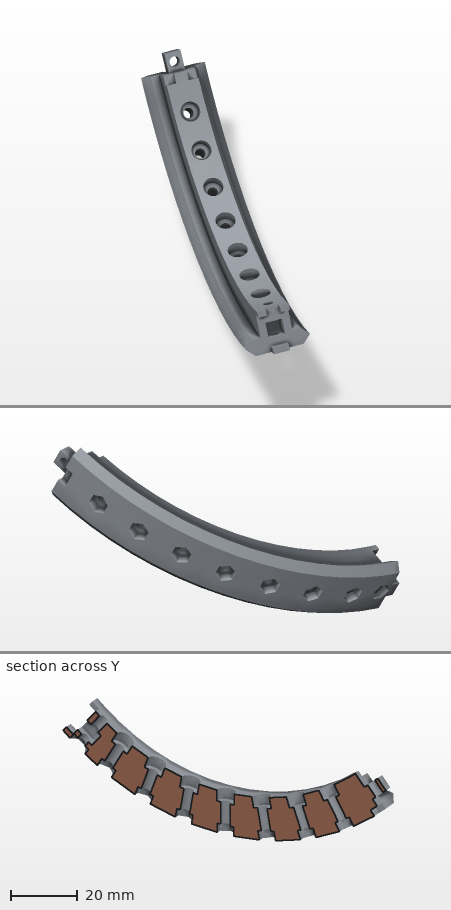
import cadquery as cq

OUTER_RADIUS = 84.0
INNER_RADIUS = 70.0
HALF_SWEEP = 40.0
FLANGE_WIDTH = 20.0
FLANGE_HEIGHT = 5.0
FLANGE_CHAMFER = FLANGE_HEIGHT / 2
WEB_WIDTH = 10.0

SCREW_ANGLES = (-30, -20, -10, 0, 10, 20, 30)
SCREW_DIAMETER = 3.1
HEAD_DIAMETER = 6.0
HEAD_DEPTH = 3.5
NUT_CORNER_DIAMETER = 6.4
NUT_DEPTH = 3.0

FIT_CLEARANCE = 0.2
TONGUE_WIDTH = 5.0
TONGUE_LENGTH = 6.0
TONGUE_INNER_RADIUS = 74.9
TONGUE_OUTER_RADIUS = 79.4
PIN_SETBACK = TONGUE_LENGTH / 2
SOCKET_PIN_SETBACK = 3.4
PIN_NUT_DEPTH = 2.2
TONGUE_ROOT = 0.1

TAB_LENGTH = 3.0
TAB_THICKNESS = 1.9
PRONG_THICKNESS = 1.8
PRONG_GAP = 4.4

OVERRUN = 1.1


def at_angle(shape, angle):
    """Swing a shape from the low point of the arc to the given angle."""
    return shape.rotate((0, 0, 0), (0, 1, 0), -angle)


def block(start, length, inner, outer, width, y=0):
    """Box from `start` along +X, between two radii below the arc centre."""
    return (
        cq.Workplane("XY")
        .box(length, width, outer - inner, centered=(False, True, False))
        .translate((start, y, -outer))
    )


def radial_cylinder(diameter, inner, outer, x=0):
    """Vertical cylinder between two radii below the arc centre."""
    return cq.Workplane("XY", origin=(x, 0, -outer)).circle(diameter / 2).extrude(outer - inner)


def rail():
    """Web on a flange with bevelled sides, revolved through the full sweep."""
    flange_edge = FLANGE_WIDTH / 2
    flange_flat = flange_edge - FLANGE_CHAMFER
    flange_inner = OUTER_RADIUS - FLANGE_HEIGHT
    half_section = [
        (flange_flat, -OUTER_RADIUS),
        (flange_edge, -OUTER_RADIUS + FLANGE_CHAMFER),
        (flange_flat, -flange_inner),
        (WEB_WIDTH / 2, -flange_inner),
        (WEB_WIDTH / 2, -INNER_RADIUS),
    ]
    mirrored = [(-y, z) for y, z in reversed(half_section)]
    swept = (
        cq.Workplane("YZ")
        .polyline(half_section + mirrored)
        .close()
        .revolve(2 * HALF_SWEEP, (0, 0), (1, 0))
    )
    return at_angle(swept, HALF_SWEEP)


def nut_recess(depth, corner_angle, x=0):
    """Hexagonal recess in the outer face, with a corner at `corner_angle` from +X."""
    return (
        cq.Workplane("XY", origin=(x, 0, -OUTER_RADIUS - OVERRUN))
        .transformed(rotate=(0, 0, corner_angle))
        .polygon(6, NUT_CORNER_DIAMETER)
        .extrude(depth + OVERRUN)
    )


def screw_cutter():
    """Screw hole with its head recess and nut recess."""
    shank = radial_cylinder(SCREW_DIAMETER, INNER_RADIUS - OVERRUN, OUTER_RADIUS + OVERRUN)
    head = radial_cylinder(HEAD_DIAMETER, INNER_RADIUS - OVERRUN, INNER_RADIUS + HEAD_DEPTH)
    return shank.union(head).union(nut_recess(NUT_DEPTH, corner_angle=90))


def pin_cutter(x):
    """Plain through hole for the pin that locks the tongue."""
    return radial_cylinder(SCREW_DIAMETER, INNER_RADIUS - OVERRUN, OUTER_RADIUS + OVERRUN, x)


def tongue(clearance, root=0):
    """Tongue on the -X side of an end face at X = 0, sunk past it by `root`."""
    length = TONGUE_LENGTH + clearance
    return block(
        -length,
        length + root,
        TONGUE_INNER_RADIUS - clearance,
        TONGUE_OUTER_RADIUS + clearance,
        TONGUE_WIDTH + clearance,
    )


def tab_and_prongs(clearance, overrun=0):
    """Outer tab and two inner prongs on the +X side of an end face at X = 0."""
    tab_inner = OUTER_RADIUS - TAB_THICKNESS - clearance
    tab_width = TONGUE_WIDTH + clearance
    shapes = block(0, TAB_LENGTH, tab_inner, OUTER_RADIUS + overrun, tab_width)
    gap = PRONG_GAP - 2 * clearance
    prong_width = (WEB_WIDTH - gap) / 2
    prong_y = (WEB_WIDTH + gap) / 4
    prong_inner = INNER_RADIUS - overrun
    prong_outer = INNER_RADIUS + PRONG_THICKNESS + clearance
    for y in (-prong_y, prong_y):
        prong = block(0, TAB_LENGTH, prong_inner, prong_outer, prong_width, y)
        shapes = shapes.union(prong)
    return shapes


result = rail()
for angle in SCREW_ANGLES:
    result = result.cut(at_angle(screw_cutter(), angle))

drilled_tongue = tongue(0, root=TONGUE_ROOT).cut(pin_cutter(-PIN_SETBACK))
result = result.cut(at_angle(tab_and_prongs(FIT_CLEARANCE, OVERRUN), -HALF_SWEEP))
result = result.union(at_angle(drilled_tongue, -HALF_SWEEP))

pin_nut_recess = nut_recess(PIN_NUT_DEPTH, corner_angle=0, x=-SOCKET_PIN_SETBACK)
result = result.union(at_angle(tab_and_prongs(0), HALF_SWEEP))
for cutter in (tongue(FIT_CLEARANCE), pin_cutter(-SOCKET_PIN_SETBACK), pin_nut_recess):
    result = result.cut(at_angle(cutter, HALF_SWEEP))